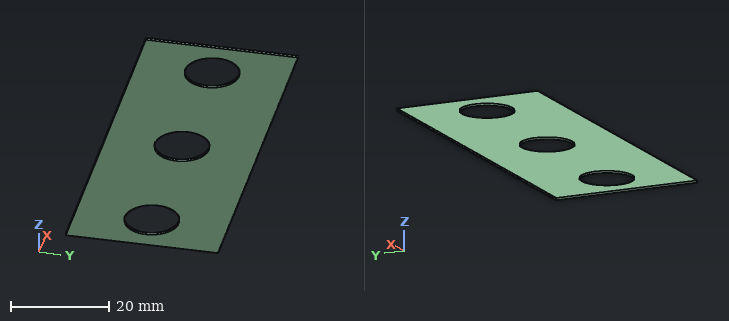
import cadquery as cq

length = 76.2
width = 31.8
thickness = 0.5

hole_diameter = 11.2
hole_count = 3
hole_pitch = 28.65

plate = cq.Workplane("XY").box(length, width, thickness)

result = (
    plate.faces(">Z")
    .workplane()
    .rarray(hole_pitch, 0.8, hole_count, 1)
    .hole(hole_diameter)
)